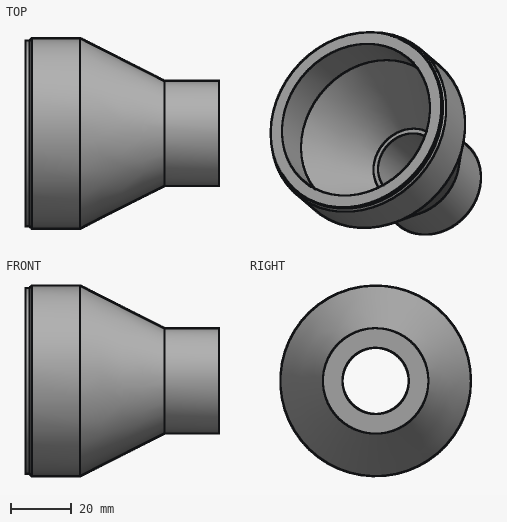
import cadquery as cq

length = 64.0
lip_length = 1.4
chamfer_end = 2.25
outer_cone_start = 18.1
outer_cone_end = 45.9
inner_cone_start = 15.95
inner_cone_end = inner_cone_start + outer_cone_end - outer_cone_start

lip_diameter = 61.4
body_diameter = 63.0
spigot_diameter = 34.8

socket_diameter = 53.2
throat_diameter = 25.0
bore_diameter = 21.75


def revolve_about_x(stations):
    """Solid of revolution about X from (x, diameter) stations."""
    profile = [(x, diameter / 2) for x, diameter in stations]
    first_x = stations[0][0]
    last_x = stations[-1][0]
    outline = [(first_x, 0)] + profile + [(last_x, 0)]
    return cq.Workplane("XY").polyline(outline).close().revolve(360, (0, 0, 0), (1, 0, 0))


outer_body = revolve_about_x([
    (0, lip_diameter),
    (lip_length, lip_diameter),
    (chamfer_end, body_diameter),
    (outer_cone_start, body_diameter),
    (outer_cone_end, spigot_diameter),
    (length, spigot_diameter),
])

cavity = revolve_about_x([
    (0, socket_diameter),
    (inner_cone_start, socket_diameter),
    (inner_cone_end, throat_diameter),
    (inner_cone_end, bore_diameter),
    (length, bore_diameter),
])

result = outer_body.cut(cavity)